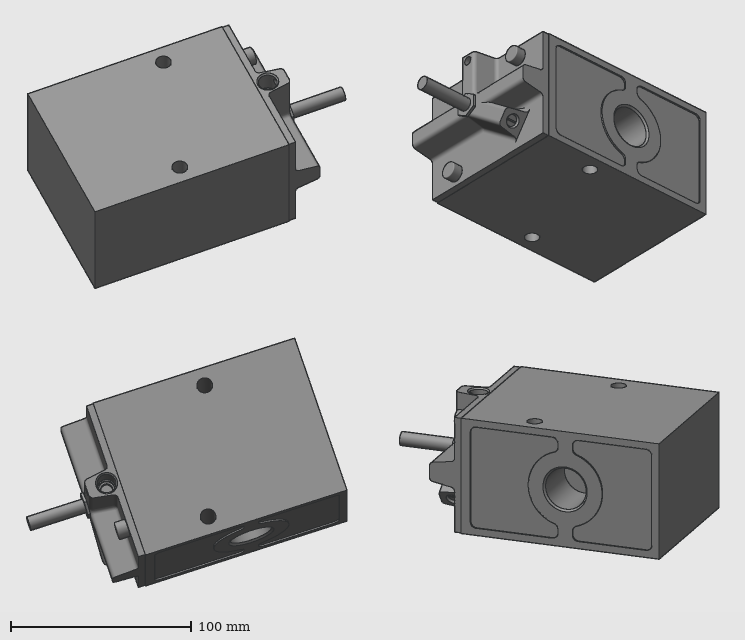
import cadquery as cq
import math

BODY_WIDTH = 92.0
BODY_LENGTH = 118.0
BODY_HEIGHT = 68.0
BODY_BACK = 62.0
SIDE_X = -BODY_WIDTH / 2
TOP_Z = BODY_HEIGHT / 2

PLATE_WIDTH = 91.2
PLATE_HEIGHT = 67.6
PLATE_TOP = PLATE_HEIGHT / 2
PLATE_THICKNESS = 4.0
PLATE_BACK = BODY_BACK + PLATE_THICKNESS
RIB_HEIGHT = 15.0
RIB_BACK = PLATE_BACK + RIB_HEIGHT
RIB_ROOT_WIDTH = 15.7
RIB_TIP_WIDTH = 10.8
RIB_CORNER_FILLET = 2.3
RIB_TIP_FILLET = 2.5
RIB_ROOT_FILLET = 2.4
SLANT_ANGLE = 216.0
SLANT_RIB_LENGTH = 35.6
RIBS = [
    (0, PLATE_WIDTH / 2),
    (90, PLATE_TOP),
    (180, PLATE_WIDTH / 2),
    (SLANT_ANGLE, SLANT_RIB_LENGTH),
]

HEX_ACROSS_FLATS = 13.0
HEX_HEIGHT = 1.5
CABLE_DIAMETER = 8.0
CABLE_LENGTH = 32.5

SCREW_HEAD_DIAMETER = 10.0
SCREW_HEAD_HEIGHT = 6.0
SCREW_OFFSET = 26.0
SCREW_EDGE_FILLET = 0.5
SCREW_POSITIONS = [(-SCREW_OFFSET, SCREW_OFFSET), (SCREW_OFFSET, -SCREW_OFFSET)]

MOUNT_DIAMETER = 8.6
MOUNT_POSITIONS = [(-36.0, 22.0), (36.0, 0.0)]

BORE_DIAMETER = 24.12
BORE_MOUTH_DIAMETER = 26.4
BORE_DEPTH = 30.0

PANEL_DEPTH = 1.0
PANEL_FRONT = -51.6
PANEL_BACK = 56.5
PANEL_HEIGHT = 59.5
PANEL_GAP = 8.6
PANEL_FILLET = 3.5
RING_DIAMETER = 44.0

PORT_Y = 69.4
PORT_MOUTH_DIAMETER = 12.2
PORT_DIAMETER = 10.5
PORT_STEPS = [(PORT_DIAMETER, 12.0), (9.0, 14.0), (6.7, 17.0)]
SET_SCREW_DIAMETER = 5.0
SET_SCREW_DROP = 4.0

RECESS_Y = 73.3
RECESS_DIAMETER = 8.2
RECESS_FLOOR_DIAMETER = 6.7
RECESS_DEPTH = 1.5
SLOT_WIDTH = 0.8
SLOT_DEPTH = 1.0

INWARD_X = (1, 0, 0)
BACKWARD = (0, 1, 0)
DOWN = (0, 0, -1)
TOLERANCE = 0.01


def disc(diameter, length, start, direction):
    """Cylinder of the given length from a start point along a direction."""
    solid = cq.Solid.makeCylinder(diameter / 2, length, cq.Vector(*start), cq.Vector(*direction))
    return cq.Workplane(solid)


def cone(start_diameter, end_diameter, length, start, direction):
    """Cone whose diameter changes from the start point to its far end."""
    radii = (start_diameter / 2, end_diameter / 2)
    return cq.Workplane(cq.Solid.makeCone(*radii, length, cq.Vector(*start), cq.Vector(*direction)))


def mouth_chamfer(mouth_diameter, hole_diameter, start, direction):
    """45 degree countersink at the mouth of a hole."""
    return cone(mouth_diameter, hole_diameter, (mouth_diameter - hole_diameter) / 2, start, direction)


def block(width, back, length, height):
    """Block centred in X and Z that ends at the given Y."""
    return cq.Workplane("XY").box(width, length, height).translate((0, back - length / 2, 0))


def rib_direction(angle):
    """Unit vector in the XZ plane, measured from +X towards +Z."""
    radians = math.radians(angle)
    return (math.cos(radians), 0, math.sin(radians))


def rib(angle, length):
    """Tapered rib from the cover centre; the angle is measured from +X towards +Z."""
    section = [
        (PLATE_BACK, -RIB_ROOT_WIDTH / 2),
        (RIB_BACK, -RIB_TIP_WIDTH / 2),
        (RIB_BACK, RIB_TIP_WIDTH / 2),
        (PLATE_BACK, RIB_ROOT_WIDTH / 2),
    ]
    straight = cq.Workplane("YZ").polyline(section).close().extrude(length)
    return straight.rotate((0, 0, 0), (0, 1, 0), -angle)


def in_rib_end(edge):
    """True for an edge in the flat end face of a rib, or in the plate side flush with it."""
    middle = edge.positionAt(0.5)
    for angle, length in RIBS:
        along = rib_direction(angle)
        if abs(middle.x * along[0] + middle.z * along[2] - length) < TOLERANCE:
            return True
    return False


def inner_corners(shape):
    """Edges between the flanks of neighbouring ribs, without the acute corner above the slanted rib."""
    return [
        edge
        for edge in shape.edges().vals()
        if edge.BoundingBox().ylen > RIB_HEIGHT / 2
        and edge.Center().x > -RIB_ROOT_WIDTH
        and not in_rib_end(edge)
    ]


def flank_edges(shape, y):
    """Edges in the plane at the given Y that run along the rib flanks."""
    return [
        edge
        for edge in shape.edges().vals()
        if edge.BoundingBox().ymin > y - TOLERANCE
        and edge.BoundingBox().ymax < y + TOLERANCE
        and edge.Center().z > TOLERANCE - PLATE_TOP
        and not in_rib_end(edge)
    ]


def cover():
    """Plate with the ribs, their rounded corners, root fillets and tip fillets."""
    shape = block(PLATE_WIDTH, PLATE_BACK, PLATE_THICKNESS, PLATE_HEIGHT)
    for angle, length in RIBS:
        shape = shape.union(rib(angle, length))
    shape = shape.newObject(inner_corners(shape)).fillet(RIB_CORNER_FILLET)
    shape = shape.newObject(flank_edges(shape, RIB_BACK)).fillet(RIB_TIP_FILLET)
    return shape.newObject(flank_edges(shape, PLATE_BACK)).fillet(RIB_ROOT_FILLET)


def cable():
    """Hexagonal gland on the ribs with the cable leaving it along +Y."""
    corner_diameter = HEX_ACROSS_FLATS / math.cos(math.pi / 6)
    hexagon = (
        cq.Workplane("XZ", origin=(0, RIB_BACK, 0))
        .polygon(6, corner_diameter)
        .extrude(-HEX_HEIGHT)
        .rotate((0, 0, 0), (0, 1, 0), 90)
    )
    return hexagon.union(disc(CABLE_DIAMETER, HEX_HEIGHT + CABLE_LENGTH, (0, RIB_BACK, 0), BACKWARD))


def screw_head(x, z):
    """Cylindrical screw head on the plate with a rounded outer rim."""
    head = disc(SCREW_HEAD_DIAMETER, SCREW_HEAD_HEIGHT, (x, PLATE_BACK, z), BACKWARD)
    return head.faces(">Y").edges().fillet(SCREW_EDGE_FILLET)


def bore():
    """Blind side bore with a countersunk mouth."""
    start = (SIDE_X, 0, 0)
    return disc(BORE_DIAMETER, BORE_DEPTH, start, INWARD_X).union(
        mouth_chamfer(BORE_MOUTH_DIAMETER, BORE_DIAMETER, start, INWARD_X)
    )


def panel(start_y, end_y):
    """Shallow recess between two Y limits, with the ring around the bore left standing."""
    recess = (
        cq.Workplane("XY")
        .box(PANEL_DEPTH, end_y - start_y, PANEL_HEIGHT)
        .translate((SIDE_X + PANEL_DEPTH / 2, (start_y + end_y) / 2, 0))
    )
    ring = disc(RING_DIAMETER, PANEL_DEPTH, (SIDE_X, 0, 0), INWARD_X)
    return recess.cut(ring).edges("|X").fillet(PANEL_FILLET)


def port():
    """Stepped hole in the upright rib with a set screw hole crossing it from the back."""
    start = (0, PORT_Y, PLATE_TOP)
    hole = mouth_chamfer(PORT_MOUTH_DIAMETER, PORT_DIAMETER, start, DOWN)
    for diameter, depth in PORT_STEPS:
        hole = hole.union(disc(diameter, depth, start, DOWN))
    set_screw_start = (0, PORT_Y, PLATE_TOP - SET_SCREW_DROP)
    return hole.union(disc(SET_SCREW_DIAMETER, RIB_BACK - PORT_Y, set_screw_start, BACKWARD))


def slotted_recess():
    """Tapered recess in the end of the slanted rib with a slot along Y in its floor."""
    taper = cone(RECESS_DIAMETER, RECESS_FLOOR_DIAMETER, RECESS_DEPTH, (0, 0, 0), INWARD_X)
    slot = (
        cq.Workplane("XY")
        .box(SLOT_DEPTH, RECESS_FLOOR_DIAMETER, SLOT_WIDTH)
        .translate((RECESS_DEPTH + SLOT_DEPTH / 2, 0, 0))
    )
    placed = taper.union(slot).translate((-SLANT_RIB_LENGTH, RECESS_Y, 0))
    return placed.rotate((0, 0, 0), (0, 1, 0), 180 - SLANT_ANGLE)


result = block(BODY_WIDTH, BODY_BACK, BODY_LENGTH, BODY_HEIGHT).union(cover()).union(cable())
for screw_x, screw_z in SCREW_POSITIONS:
    result = result.union(screw_head(screw_x, screw_z))
for mount_x, mount_y in MOUNT_POSITIONS:
    result = result.cut(disc(MOUNT_DIAMETER, BODY_HEIGHT, (mount_x, mount_y, TOP_Z), DOWN))
for panel_start, panel_end in [(PANEL_FRONT, -PANEL_GAP / 2), (PANEL_GAP / 2, PANEL_BACK)]:
    result = result.cut(panel(panel_start, panel_end))
result = result.cut(bore()).cut(port()).cut(slotted_recess())